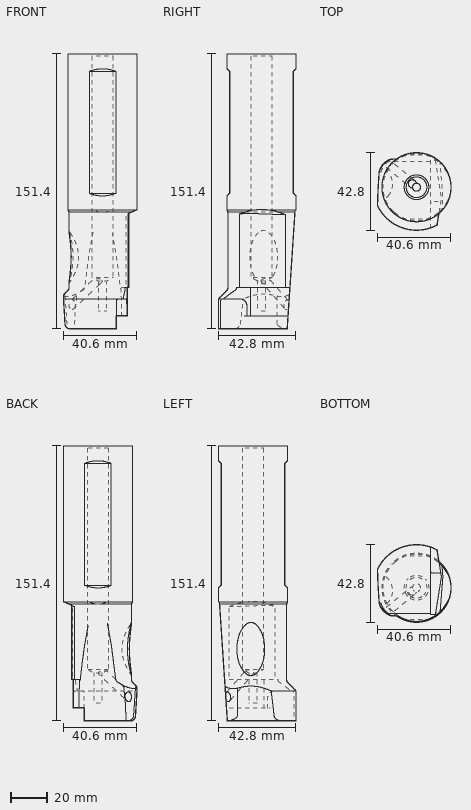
import math

import cadquery as cq

TOTAL_LENGTH = 151.4
FAR = 60.0

SHANK_RADIUS = 19.05
SHANK_BOTTOM_Z = 65.4
FLAT_DISTANCE = 17.6
FLAT_BOTTOM_Z = 74.7
FLAT_TOP_Z = 141.8

NECK_RADIUS = 18.5
HEAD_RADIUS = 23.75
HEAD_EDGE_Z = 16.6
CONE_ANGLE = 45.0
NECK_FILLET = 2.6

FLUTE_Y_AT_BOTTOM = 14.2
FLUTE_LEAN = 3.8

HEAD_RELIEF_X = 13.7
NECK_RELIEF_X = 14.5
RELIEF_CORNER_Y = -6.0
HEAD_RELIEF_TURN = 9.0
NECK_RELIEF_TURN = 4.5
HEAD_RELIEF_TOP_Z = 22.9
NECK_RELIEF_TOP_Z = 63.6
RUNOUT_SLOPE = 25.0

SIDE_FLAT_X = -19.88
SIDE_FLAT_LEAN = 3.8
SIDE_FLAT_TURN = 3.2
CORNER_START_Y = 8.4
CORNER_CENTER_DROP = 2.1
CORNER_RADIUS = 9.6
LOWER_EDGE_RADIUS = 3.0

SEAT_X = 7.6
POCKET_CORNER_RADIUS = 1.4
POCKET_BOTTOM_Z = 7.2
POCKET_TOP_Z = HEAD_EDGE_Z
POCKET_BACK_Y = -8.0
POCKET_ROOF_RADIUS = 4.0

SCOOP_Y = 1.66
SCOOP_Z = 39.6
SCOOP_END_RUN = 30.0
SCOOP_DEPTH = 5.3
SCOOP_WIDTH_RADIUS = 10.0
SCOOP_END_SLOPE = 30.0
SCOOP_ARC_HALF = 10.4

BORE_RADIUS = 5.7
BORE_MOUTH_RADIUS = 6.8
BORE_END_Z = 28.4
BORE_TIP_ANGLE = 59.0
OUTLET_RADIUS = 2.2
OUTLET_MOUTH = (-16.7, 13.7, 13.4)
CENTRAL_OUTLET_END_Z = 10.0
OUTLET_SLOPE = 36.0


def box(x_range, y_range, z_range):
    sides = [high - low for low, high in (x_range, y_range, z_range)]
    corner = (x_range[0], y_range[0], z_range[0])
    return cq.Workplane("XY").box(*sides, centered=False).translate(corner)


def turned_body():
    cone_top_z = HEAD_EDGE_Z + (HEAD_RADIUS - NECK_RADIUS) / math.tan(math.radians(CONE_ANGLE))
    tangent = NECK_FILLET * math.tan(math.radians(CONE_ANGLE / 2))
    cone_step_x = tangent * math.sin(math.radians(CONE_ANGLE))
    cone_step_z = tangent * math.cos(math.radians(CONE_ANGLE))
    chamfer = SHANK_RADIUS - NECK_RADIUS
    return (
        cq.Workplane("XZ")
        .moveTo(0, 0)
        .lineTo(-HEAD_RADIUS, 0)
        .lineTo(-HEAD_RADIUS, HEAD_EDGE_Z)
        .lineTo(-NECK_RADIUS - cone_step_x, cone_top_z - cone_step_z)
        .tangentArcPoint((-NECK_RADIUS, cone_top_z + tangent), relative=False)
        .lineTo(-NECK_RADIUS, SHANK_BOTTOM_Z - 2 * chamfer)
        .lineTo(-SHANK_RADIUS, SHANK_BOTTOM_Z)
        .lineTo(-SHANK_RADIUS, TOTAL_LENGTH)
        .lineTo(0, TOTAL_LENGTH)
        .close()
        .revolve(360, (0, 0, 0), (0, 1, 0))
    )


def clamping_flat(side):
    """Recess with 45 degree ends; side is +1 for +Y and -1 for -Y."""
    rise = SHANK_RADIUS - FLAT_DISTANCE
    return (
        cq.Workplane("YZ")
        .polyline(
            [
                (side * FLAT_DISTANCE, FLAT_BOTTOM_Z),
                (side * SHANK_RADIUS, FLAT_BOTTOM_Z - rise),
                (side * SHANK_RADIUS, FLAT_TOP_Z + rise),
                (side * FLAT_DISTANCE, FLAT_TOP_Z),
            ]
        )
        .close()
        .extrude(SHANK_RADIUS, both=True)
    )


def back_flute():
    y_at_top = FLUTE_Y_AT_BOTTOM + SHANK_BOTTOM_Z * math.tan(math.radians(FLUTE_LEAN))
    return (
        cq.Workplane("YZ")
        .polyline([(FLUTE_Y_AT_BOTTOM, 0), (FAR, 0), (FAR, SHANK_BOTTOM_Z), (y_at_top, SHANK_BOTTOM_Z)])
        .close()
        .extrude(FAR, both=True)
    )


def side_relief(corner_x, face_turn, z_bottom, z_top):
    turn = math.tan(math.radians(face_turn))
    front_x = corner_x - (FAR + RELIEF_CORNER_Y) * turn
    rear_x = corner_x - (FAR - RELIEF_CORNER_Y) * turn
    return (
        cq.Workplane("XY", origin=(0, 0, z_bottom))
        .polyline([(front_x, -FAR), (corner_x, RELIEF_CORNER_Y), (rear_x, FAR), (FAR, FAR), (FAR, -FAR)])
        .close()
        .extrude(z_top - z_bottom)
    )


def neck_relief():
    """The neck relief, ended at the top by a sloping runout."""
    blank = side_relief(NECK_RELIEF_X, NECK_RELIEF_TURN, HEAD_RELIEF_TOP_Z, TOTAL_LENGTH)
    slope = math.tan(math.radians(RUNOUT_SLOPE))
    z_outer = NECK_RELIEF_TOP_Z + (FAR - NECK_RELIEF_X) * slope
    z_inner = NECK_RELIEF_TOP_Z - NECK_RELIEF_X * slope
    below_runout = (
        cq.Workplane("XZ")
        .polyline([(0, 0), (FAR, 0), (FAR, z_outer), (0, z_inner)])
        .close()
        .extrude(FAR, both=True)
    )
    return blank.intersect(below_runout)


def side_flat_wall():
    """Space inside the leaning side flat and its rounded lower edge."""
    lean = math.radians(SIDE_FLAT_LEAN)
    bottom_x = SIDE_FLAT_X * math.cos(math.radians(SIDE_FLAT_TURN))
    top_x = bottom_x - TOTAL_LENGTH * math.tan(lean)
    wall = (
        cq.Workplane("XZ")
        .polyline([(bottom_x, 0), (FAR, 0), (FAR, TOTAL_LENGTH), (top_x, TOTAL_LENGTH)])
        .close()
        .extrude(FAR, both=True)
    )
    wall = wall.faces("<Z").edges("<X").fillet(LOWER_EDGE_RADIUS)
    return wall.rotate((0, 0, 0), (0, 0, 1), -SIDE_FLAT_TURN)


def side_flat_corner():
    """Space inside the rounded corner beside the flat, leaning with the flat."""
    start_x = SIDE_FLAT_X + CORNER_START_Y * math.tan(math.radians(SIDE_FLAT_TURN))
    center_x = start_x + math.sqrt(CORNER_RADIUS**2 - CORNER_CENTER_DROP**2)
    center_y = CORNER_START_Y - CORNER_CENTER_DROP
    diagonal = CORNER_RADIUS * math.sin(math.radians(45))
    top_y = center_y + CORNER_RADIUS
    outline = (
        cq.Workplane("XY")
        .moveTo(-FAR, -FAR)
        .lineTo(-FAR, CORNER_START_Y)
        .lineTo(start_x, CORNER_START_Y)
        .threePointArc((center_x - diagonal, center_y + diagonal), (center_x, top_y))
        .lineTo(FAR, top_y)
        .lineTo(FAR, -FAR)
        .close()
    )
    shift = HEAD_RELIEF_TOP_Z * math.tan(math.radians(SIDE_FLAT_LEAN))
    direction = cq.Vector(-shift, 0, HEAD_RELIEF_TOP_Z)
    return cq.Workplane(cq.Solid.extrudeLinear(outline.wires().val(), [], direction))


def insert_pocket():
    below = box((SEAT_X, FAR), (-FAR, FAR), (0, POCKET_BOTTOM_Z))
    pocket = box((SEAT_X, FAR), (-FAR, POCKET_BACK_Y), (POCKET_BOTTOM_Z, POCKET_TOP_Z))
    pocket = pocket.edges(">Y and >Z").fillet(POCKET_ROOF_RADIUS)
    pocket = pocket.edges("|Z and >Y and <X").fillet(POCKET_CORNER_RADIUS)
    return below.union(pocket)


def scoop():
    """Round-bottomed groove swept along a line, an arc and a line."""
    slope = math.radians(SCOOP_END_SLOPE)
    floor_radius = SCOOP_ARC_HALF / math.sin(slope)
    path_radius = floor_radius - SCOOP_WIDTH_RADIUS
    middle_x = -NECK_RADIUS + SCOOP_DEPTH - SCOOP_WIDTH_RADIUS
    arc_x = middle_x - path_radius * (1 - math.cos(slope))
    arc_half = path_radius * math.sin(slope)
    end_x = arc_x - SCOOP_END_RUN * math.sin(slope)
    end_half = arc_half + SCOOP_END_RUN * math.cos(slope)
    path = (
        cq.Workplane("XZ", origin=(0, SCOOP_Y, 0))
        .moveTo(end_x, SCOOP_Z + end_half)
        .lineTo(arc_x, SCOOP_Z + arc_half)
        .threePointArc((middle_x, SCOOP_Z), (arc_x, SCOOP_Z - arc_half))
        .lineTo(end_x, SCOOP_Z - end_half)
    )
    start = cq.Plane(
        origin=(end_x, SCOOP_Y, SCOOP_Z + end_half),
        xDir=(0, 1, 0),
        normal=(math.sin(slope), 0, -math.cos(slope)),
    )
    return cq.Workplane(start).circle(SCOOP_WIDTH_RADIUS).sweep(path)


def coolant_bore():
    tip_z = BORE_END_Z - BORE_RADIUS / math.tan(math.radians(BORE_TIP_ANGLE))
    mouth_depth = BORE_MOUTH_RADIUS - BORE_RADIUS
    return (
        cq.Workplane("XZ")
        .polyline(
            [
                (0, tip_z),
                (BORE_RADIUS, BORE_END_Z),
                (BORE_RADIUS, TOTAL_LENGTH - mouth_depth),
                (BORE_MOUTH_RADIUS, TOTAL_LENGTH),
                (0, TOTAL_LENGTH),
            ]
        )
        .close()
        .revolve(360, (0, 0, 0), (0, 1, 0))
    )


def coolant_outlets():
    mouth = cq.Vector(*OUTLET_MOUTH)
    run = math.hypot(mouth.x, mouth.y)
    rise = run * math.tan(math.radians(OUTLET_SLOPE))
    inward = cq.Vector(-mouth.x, -mouth.y, rise)
    outside = mouth - inward
    slanted = cq.Solid.makeCylinder(OUTLET_RADIUS, 2 * inward.Length, outside, inward)
    central = cq.Workplane("XY", origin=(0, 0, CENTRAL_OUTLET_END_Z))
    central = central.circle(OUTLET_RADIUS).extrude(BORE_END_Z - CENTRAL_OUTLET_END_Z)
    return central.union(cq.Workplane(slanted))


result = turned_body()
for side in (-1, 1):
    result = result.cut(clamping_flat(side))
head_block = box((-FAR, FAR), (-FAR, FAR), (0, HEAD_RELIEF_TOP_Z))
result = result.cut(head_block.cut(side_flat_wall().intersect(side_flat_corner())))
result = result.cut(back_flute())
result = result.cut(side_relief(HEAD_RELIEF_X, HEAD_RELIEF_TURN, 0, HEAD_RELIEF_TOP_Z))
result = result.cut(neck_relief())
result = result.cut(insert_pocket())
result = result.cut(scoop())
result = result.cut(coolant_bore())
result = result.cut(coolant_outlets())